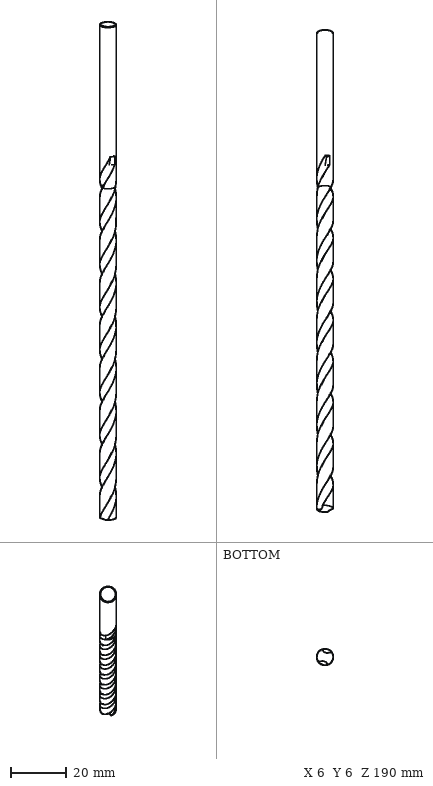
import cadquery as cq
import math

drill_diameter = 6.0
total_length = 190.0
shank_length = 62.0
drill_radius = drill_diameter / 2
joint_height = total_length - shank_length

point_angle = 140.0
point_height = drill_radius / math.tan(math.radians(point_angle / 2))
shank_chamfer = 0.3

flute_count = 2
helix_angle = 30.0
helix_pitch = math.pi * drill_diameter / math.tan(math.radians(helix_angle))
flute_width = 3.5
flute_depth = 1.4
flute_top = 136.7
runout_length = 3.4

reference_angle = 180.0
reference_height = 121.9

edge_distance = math.sqrt(drill_radius**2 - (flute_width / 2) ** 2)
floor_distance = drill_radius - flute_depth
floor_sag = edge_distance - floor_distance
cutter_radius = ((flute_width / 2) ** 2 + floor_sag**2) / (2 * floor_sag)
cutter_distance = floor_distance + cutter_radius


def twist(length):
    """Angle in degrees that a flute turns over a length of the drill."""
    return 360.0 * length / helix_pitch


def flute_section(height, index):
    """Cutting circle of one flute on the horizontal plane at a height."""
    angle = reference_angle + twist(height - reference_height) + index * 360.0 / flute_count
    plane = cq.Workplane("XY", origin=(0, 0, height)).transformed(rotate=(0, 0, angle))
    return plane.pushPoints([(cutter_distance, 0)]).circle(cutter_radius)


def helical_flute(bottom, top, index):
    """Length of one flute between two heights, turning around the drill axis."""
    length = top - bottom
    return flute_section(bottom, index).twistExtrude(length, twist(length))


def flute_runout(index):
    """Upper end of one flute: its leading side rises straight up instead of turning on."""
    straight = flute_section(flute_top, index).extrude(runout_length)
    return straight.intersect(helical_flute(flute_top, flute_top + runout_length, index))


def make_fluted_body():
    """Cutting part: a round bar with a conical point and helical flutes along its whole length."""
    half_profile = [
        (0, 0),
        (drill_radius, point_height),
        (drill_radius, joint_height),
        (0, joint_height),
    ]
    body = cq.Workplane("XZ").polyline(half_profile).close().revolve(360, (0, 0, 0), (0, 1, 0))
    for index in range(flute_count):
        body = body.cut(helical_flute(0, joint_height, index))
    return body


def make_shank():
    """Round shank with a chamfered end, holding the upper ends of the flutes."""
    shank = cq.Workplane("XY", origin=(0, 0, joint_height)).circle(drill_radius).extrude(shank_length)
    shank = shank.faces(">Z").chamfer(shank_chamfer)
    for index in range(flute_count):
        shank = shank.cut(helical_flute(joint_height, flute_top, index))
        shank = shank.cut(flute_runout(index))
    return shank


fluted_body = make_fluted_body()
shank = make_shank()

result = cq.Compound.makeCompound([fluted_body.solids().val(), shank.solids().val()])